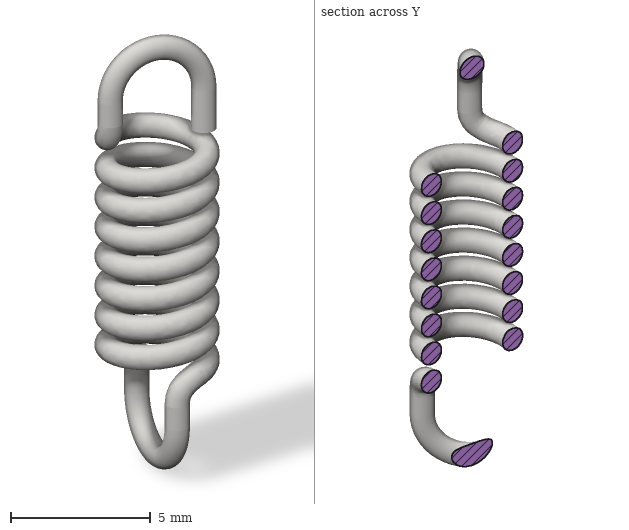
import cadquery as cq
import math

overall_height = 16.77
wire_radius = 0.45
coil_radius = 1.8

lower_coil_angle = 0.0
upper_coil_angle = 207.0
full_turns = 7
elbow_sweep = 30.0

elbow_height = 0.9
attached_leg_length = 0.87
free_leg_length = 1.63

hook_height = elbow_height + attached_leg_length + coil_radius + wire_radius
coil_height = overall_height - 2 * hook_height
coil_turns = full_turns + (upper_coil_angle - lower_coil_angle) / 360
pitch = coil_height / coil_turns


def point_on_coil_cylinder(angle, z):
    """Point at the wire centreline radius."""
    a = math.radians(angle)
    return cq.Vector(coil_radius * math.cos(a), coil_radius * math.sin(a), z)


def coil_tangent(angle):
    """Unit direction of the rising coil at the given angle."""
    a = math.radians(angle)
    rise = pitch / (2 * math.pi)
    return cq.Vector(-coil_radius * math.sin(a), coil_radius * math.cos(a), rise).normalized()


def sweep_wire(edge, start, direction):
    """Round wire following one centreline edge."""
    section = cq.Workplane(cq.Plane(origin=start, normal=direction)).circle(wire_radius)
    path = cq.Workplane(cq.Wire.assembleEdges([edge]))
    return section.sweep(path)


def straight_wire(start, direction, length):
    return cq.Workplane(cq.Solid.makeCylinder(wire_radius, length, start, direction))


def make_coil():
    helix = cq.Wire.makeHelix(pitch, coil_height, coil_radius)
    helix = helix.rotate(cq.Vector(0, 0, 0), cq.Vector(0, 0, 1), lower_coil_angle)
    start = point_on_coil_cylinder(lower_coil_angle, 0)
    section = cq.Workplane(cq.Plane(origin=start, normal=coil_tangent(lower_coil_angle)))
    return section.circle(wire_radius).sweep(cq.Workplane(helix), isFrenet=True)


def make_elbow(coil_angle, coil_end_z, side):
    """Quarter bend wrapped on the coil cylinder, from the coil end to vertical."""
    segments = 2
    points = []
    for i in range(segments + 1):
        t = math.pi / 2 * i / segments
        angle = coil_angle + side * elbow_sweep * math.sin(t)
        z = coil_end_z + side * elbow_height * (1 - math.cos(t))
        points.append(point_on_coil_cylinder(angle, z))
    start_direction = coil_tangent(coil_angle) * side
    end_direction = cq.Vector(0, 0, side)
    bend = cq.Edge.makeSpline(points, tangents=[start_direction, end_direction], scale=True)
    return sweep_wire(bend, points[0], start_direction)


def make_hook(coil_angle, coil_end_z, side):
    """Elbow, attached leg, half-circle loop and free leg; side is +1 up or -1 down."""
    leg_angle = coil_angle + side * elbow_sweep
    outward = cq.Vector(0, 0, side)
    leg_start_z = coil_end_z + side * elbow_height
    loop_z = leg_start_z + side * attached_leg_length
    leg_start = point_on_coil_cylinder(leg_angle, leg_start_z)
    loop_start = point_on_coil_cylinder(leg_angle, loop_z)
    loop_crown = cq.Vector(0, 0, loop_z + side * coil_radius)
    loop_end = point_on_coil_cylinder(leg_angle + 180, loop_z)
    loop = cq.Edge.makeThreePointArc(loop_start, loop_crown, loop_end)
    return [
        make_elbow(coil_angle, coil_end_z, side),
        straight_wire(leg_start, outward, attached_leg_length),
        sweep_wire(loop, loop_start, outward),
        straight_wire(loop_end, outward * -1, free_leg_length),
    ]


result = make_coil()
lower_hook = make_hook(lower_coil_angle, 0, -1)
upper_hook = make_hook(upper_coil_angle, coil_height, 1)
for piece in lower_hook + upper_hook:
    result = result.union(piece)